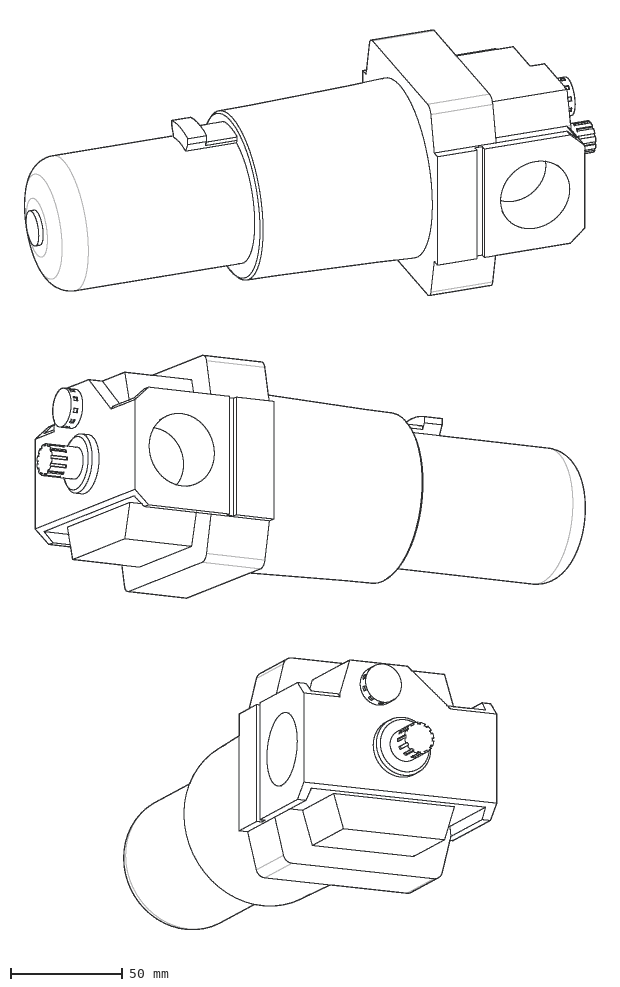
import cadquery as cq
import math


TOTAL_LENGTH = 267.8
KNOB_END_Y = 44.5
BLOCK_BACK_Y = 23.8
FLANGE_BACK_Y = -17.1
FLANGE_FRONT_Y = -46.9
SKIRT_END_Y = -128.3
BOWL_FLAT_Y = -221.2
BOSS_END_Y = KNOB_END_Y - TOTAL_LENGTH

OUTER_WIDTH = 95.0
FLANGE_HALF_HEIGHT = OUTER_WIDTH / 2
FLANGE_TOP_HALF_WIDTH = 38.3
FLANGE_SIDE_HALF_WIDTH = 43.5
FLANGE_CORNER_RADIUS = 4.3

PORT_FACE_X = OUTER_WIDTH / 2
PORT_BLOCK_HALF_HEIGHT = 27.0
PORT_CHAMFER_Y = 7.0
PORT_CHAMFER_Z = 6.5
RECESS_FLOOR_Z = 22.5
RECESS_FLOOR_HALF_WIDTH = 42.8
SIDE_GROOVE_BACK_Y = -24.5
SIDE_GROOVE_WIDTH = 3.5
SIDE_GROOVE_DEPTH = 2.7

PORT_MOUTH_RADIUS = 16.5
PORT_END_RADIUS = 15.3
PORT_DEPTH = 26.8
DRILL_TIP_ANGLE = 118.0

CENTRE_HALF_HEIGHT = 38.3
CENTRE_TOP_HALF_WIDTH = 25.0
CENTRE_BASE_HALF_WIDTH = 29.7
NOTCH_TOP_X = -3.5
NOTCH_SIDE_Z = 16.5
NOTCH_DEPTH = PORT_CHAMFER_Y

SKIRT_BACK_RADIUS = 41.0
SKIRT_END_RADIUS = 38.5
SKIRT_CHAMFER = 1.0

COLLAR_RADIUS = 13.5
COLLAR_HEIGHT = 4.8
COLLAR_CHAMFER = 1.3
KNOB_RADIUS = 7.2
FLUTE_COUNT = 12
FLUTE_WIDTH = 1.3
FLUTE_DEPTH = 0.8
FLUTE_LENGTH = 7.8

PLUG_X = 11.0
PLUG_Z = 27.5
PLUG_RADIUS = 8.8
PLUG_HEIGHT = 6.0
PLUG_NOTCH_COUNT = 10
PLUG_NOTCH_SIZE = 2.0
PLUG_NOTCH_DEPTH = 0.8
PLUG_NOTCH_END_GAP = 1.5

BOWL_RADIUS = 30.8
BOWL_CORNER_RADIUS = 10.7
BOWL_DOME_RADIUS = 67.0
BOWL_FLAT_RADIUS = 13.5
BOSS_RADIUS = 8.0

LATCH_FRONT_Y = -152.6
LATCH_TAB_LENGTH = 9.0
LATCH_TOP_RADIUS = 38.5
LATCH_HALF_WIDTH = 10.2
LATCH_SHOULDER_Z = 34.3
LATCH_BASE_HALF_WIDTH = 7.5
LATCH_BASE_Z = 29.7
NECK_TOP_RADIUS = 34.3
NECK_HALF_WIDTH = 8.5


def plane_at(y):
    """Cross-section plane at a given Y: local x is X, local y is Z, normal points toward -Y."""
    return cq.Workplane("XZ", origin=(0, y, 0))


def box_between(x_range, y_range, z_range):
    """Box that fills the given ranges."""
    size = [high - low for low, high in (x_range, y_range, z_range)]
    corner = (x_range[0], y_range[0], z_range[0])
    return cq.Workplane("XY").box(*size, centered=False).translate(corner)


def make_flange():
    """Eight-sided slab with sloping sides and rounded top and bottom corners."""
    right_side = [
        (FLANGE_TOP_HALF_WIDTH, -FLANGE_HALF_HEIGHT),
        (FLANGE_SIDE_HALF_WIDTH, -PORT_BLOCK_HALF_HEIGHT),
        (FLANGE_SIDE_HALF_WIDTH, PORT_BLOCK_HALF_HEIGHT),
        (FLANGE_TOP_HALF_WIDTH, FLANGE_HALF_HEIGHT),
    ]
    left_side = [(-x, -z) for x, z in right_side]
    slab = plane_at(FLANGE_BACK_Y).polyline(right_side + left_side).close()
    slab = slab.extrude(FLANGE_BACK_Y - FLANGE_FRONT_Y)
    return slab.edges("|Y").edges(">Z or <Z").fillet(FLANGE_CORNER_RADIUS)


def make_port_block():
    """Block as long as the head and flange, chamfered at the back, recessed between its side plates."""
    chamfer_y = BLOCK_BACK_Y - PORT_CHAMFER_Y
    chamfer_z = PORT_BLOCK_HALF_HEIGHT - PORT_CHAMFER_Z
    outline = [
        (FLANGE_FRONT_Y, -PORT_BLOCK_HALF_HEIGHT),
        (chamfer_y, -PORT_BLOCK_HALF_HEIGHT),
        (BLOCK_BACK_Y, -chamfer_z),
        (BLOCK_BACK_Y, chamfer_z),
        (chamfer_y, PORT_BLOCK_HALF_HEIGHT),
        (FLANGE_FRONT_Y, PORT_BLOCK_HALF_HEIGHT),
    ]
    block = cq.Workplane("YZ").polyline(outline).close().extrude(PORT_FACE_X, both=True)

    recess_outline = [
        (-RECESS_FLOOR_HALF_WIDTH, RECESS_FLOOR_Z),
        (RECESS_FLOOR_HALF_WIDTH, RECESS_FLOOR_Z),
        (FLANGE_SIDE_HALF_WIDTH, PORT_BLOCK_HALF_HEIGHT),
        (-FLANGE_SIDE_HALF_WIDTH, PORT_BLOCK_HALF_HEIGHT),
    ]
    recess = plane_at(BLOCK_BACK_Y).polyline(recess_outline).close().extrude(BLOCK_BACK_Y - FLANGE_BACK_Y)
    return block.cut(recess).cut(recess.mirror("XY"))


def make_centre_block():
    """Tapered ridges above and below the port block; the upper one reaches the back, less a notch."""
    ridge_outline = [
        (-CENTRE_BASE_HALF_WIDTH, 0),
        (CENTRE_BASE_HALF_WIDTH, 0),
        (CENTRE_BASE_HALF_WIDTH, RECESS_FLOOR_Z),
        (CENTRE_TOP_HALF_WIDTH, CENTRE_HALF_HEIGHT),
        (-CENTRE_TOP_HALF_WIDTH, CENTRE_HALF_HEIGHT),
        (-CENTRE_BASE_HALF_WIDTH, RECESS_FLOOR_Z),
    ]
    ridge = plane_at(BLOCK_BACK_Y).polyline(ridge_outline).close().extrude(BLOCK_BACK_Y - FLANGE_BACK_Y)

    notch_outline = [
        (-CENTRE_BASE_HALF_WIDTH, NOTCH_SIDE_Z),
        (NOTCH_TOP_X, CENTRE_HALF_HEIGHT),
        (-CENTRE_BASE_HALF_WIDTH, CENTRE_HALF_HEIGHT),
    ]
    notch = plane_at(BLOCK_BACK_Y).polyline(notch_outline).close().extrude(NOTCH_DEPTH)

    lower_ridge = ridge.mirror("XY").intersect(
        box_between(
            (-CENTRE_BASE_HALF_WIDTH, CENTRE_BASE_HALF_WIDTH),
            (FLANGE_BACK_Y, BLOCK_BACK_Y - NOTCH_DEPTH),
            (-CENTRE_HALF_HEIGHT, 0),
        )
    )
    return ridge.cut(notch).union(lower_ridge)


def make_skirt():
    """Tapered round skirt in front of the flange, chamfered at its end."""
    profile = [
        (0, FLANGE_FRONT_Y),
        (SKIRT_BACK_RADIUS, FLANGE_FRONT_Y),
        (SKIRT_END_RADIUS, SKIRT_END_Y + SKIRT_CHAMFER),
        (SKIRT_END_RADIUS - SKIRT_CHAMFER, SKIRT_END_Y),
        (0, SKIRT_END_Y),
    ]
    return cq.Workplane("XY").polyline(profile).close().revolve(360, (0, 0), (0, 1))


def make_knob():
    """Fluted adjusting knob on a chamfered collar."""
    collar = plane_at(BLOCK_BACK_Y).circle(COLLAR_RADIUS).extrude(-COLLAR_HEIGHT)
    collar = collar.faces(">Y").chamfer(COLLAR_CHAMFER)
    knob = plane_at(BLOCK_BACK_Y).circle(KNOB_RADIUS).extrude(BLOCK_BACK_Y - KNOB_END_Y)
    flute = box_between(
        (-FLUTE_WIDTH / 2, FLUTE_WIDTH / 2),
        (KNOB_END_Y - FLUTE_LENGTH, KNOB_END_Y),
        (KNOB_RADIUS - FLUTE_DEPTH, KNOB_RADIUS + FLUTE_DEPTH),
    )
    for index in range(FLUTE_COUNT):
        knob = knob.cut(flute.rotate((0, 0, 0), (0, 1, 0), index * 360 / FLUTE_COUNT))
    return collar.union(knob)


def make_filler_plug():
    """Round plug with small square notches around its rim."""
    plug = cq.Workplane("XZ").circle(PLUG_RADIUS).extrude(-PLUG_HEIGHT)
    notch_end_y = PLUG_HEIGHT - PLUG_NOTCH_END_GAP
    notch = box_between(
        (-PLUG_NOTCH_SIZE / 2, PLUG_NOTCH_SIZE / 2),
        (notch_end_y - PLUG_NOTCH_SIZE, notch_end_y),
        (PLUG_RADIUS - PLUG_NOTCH_DEPTH, PLUG_RADIUS + PLUG_NOTCH_DEPTH),
    )
    for index in range(PLUG_NOTCH_COUNT):
        plug = plug.cut(notch.rotate((0, 0, 0), (0, 1, 0), index * 360 / PLUG_NOTCH_COUNT))
    return plug.translate((PLUG_X, BLOCK_BACK_Y, PLUG_Z))


def make_port():
    """Tapered blind hole from the left face, ending in a drill tip."""
    tip_depth = PORT_END_RADIUS / math.tan(math.radians(DRILL_TIP_ANGLE / 2))
    profile = [
        (-PORT_FACE_X, 0),
        (-PORT_FACE_X, PORT_MOUTH_RADIUS),
        (-PORT_FACE_X + PORT_DEPTH, PORT_END_RADIUS),
        (-PORT_FACE_X + PORT_DEPTH + tip_depth, 0),
    ]
    return cq.Workplane("XY").polyline(profile).close().revolve(360, (0, 0), (1, 0))


def make_side_groove():
    """Straight groove up the left face."""
    return box_between(
        (-PORT_FACE_X, -PORT_FACE_X + SIDE_GROOVE_DEPTH),
        (SIDE_GROOVE_BACK_Y - SIDE_GROOVE_WIDTH, SIDE_GROOVE_BACK_Y),
        (-PORT_BLOCK_HALF_HEIGHT, PORT_BLOCK_HALF_HEIGHT),
    )


def make_housing():
    """Head, flange and skirt in one piece, with a port and a groove on each side."""
    housing = make_flange()
    for feature in (make_port_block(), make_centre_block(), make_skirt(), make_knob(), make_filler_plug()):
        housing = housing.union(feature)
    for cutter in (make_port(), make_side_groove()):
        housing = housing.cut(cutter).cut(cutter.mirror("YZ"))
    return housing


def make_bowl_shell():
    """Solid bowl: cylinder, rounded corner, tangent spherical dome, flat and end boss."""
    corner_centre_r = BOWL_RADIUS - BOWL_CORNER_RADIUS
    centre_distance = BOWL_DOME_RADIUS - BOWL_CORNER_RADIUS
    dome_centre_y = BOWL_FLAT_Y + math.sqrt(BOWL_DOME_RADIUS**2 - BOWL_FLAT_RADIUS**2)
    corner_centre_y = dome_centre_y - math.sqrt(centre_distance**2 - corner_centre_r**2)

    tangent_angle = math.asin(corner_centre_r / centre_distance)
    flat_angle = math.asin(BOWL_FLAT_RADIUS / BOWL_DOME_RADIUS)
    corner_middle_angle = (math.pi / 2 + tangent_angle) / 2
    dome_middle_angle = (tangent_angle + flat_angle) / 2

    def dome_point(angle):
        return (BOWL_DOME_RADIUS * math.sin(angle), dome_centre_y - BOWL_DOME_RADIUS * math.cos(angle))

    corner_middle = (
        corner_centre_r + BOWL_CORNER_RADIUS * math.sin(corner_middle_angle),
        corner_centre_y - BOWL_CORNER_RADIUS * math.cos(corner_middle_angle),
    )
    profile = (
        cq.Workplane("XY")
        .moveTo(0, SKIRT_END_Y)
        .lineTo(BOWL_RADIUS, SKIRT_END_Y)
        .lineTo(BOWL_RADIUS, corner_centre_y)
        .threePointArc(corner_middle, dome_point(tangent_angle))
        .threePointArc(dome_point(dome_middle_angle), (BOWL_FLAT_RADIUS, BOWL_FLAT_Y))
        .lineTo(BOSS_RADIUS, BOWL_FLAT_Y)
        .lineTo(BOSS_RADIUS, BOSS_END_Y)
        .lineTo(0, BOSS_END_Y)
        .close()
    )
    return profile.revolve(360, (0, 0), (0, 1))


def make_latch():
    """Latch with a low, narrow neck and a raised tab at its front end."""

    def top_z(radius, x):
        return math.sqrt(radius**2 - x**2)

    outline = (
        plane_at(SKIRT_END_Y)
        .moveTo(-LATCH_BASE_HALF_WIDTH, LATCH_BASE_Z)
        .lineTo(LATCH_BASE_HALF_WIDTH, LATCH_BASE_Z)
        .lineTo(LATCH_HALF_WIDTH, LATCH_SHOULDER_Z)
        .lineTo(LATCH_HALF_WIDTH, top_z(LATCH_TOP_RADIUS, LATCH_HALF_WIDTH))
        .threePointArc((0, LATCH_TOP_RADIUS), (-LATCH_HALF_WIDTH, top_z(LATCH_TOP_RADIUS, LATCH_HALF_WIDTH)))
        .lineTo(-LATCH_HALF_WIDTH, LATCH_SHOULDER_Z)
        .close()
    )
    latch = outline.extrude(SKIRT_END_Y - LATCH_FRONT_Y)

    neck_length = SKIRT_END_Y - LATCH_FRONT_Y - LATCH_TAB_LENGTH
    neck_limit = (
        plane_at(SKIRT_END_Y)
        .moveTo(-NECK_HALF_WIDTH, 0)
        .lineTo(NECK_HALF_WIDTH, 0)
        .lineTo(NECK_HALF_WIDTH, top_z(NECK_TOP_RADIUS, NECK_HALF_WIDTH))
        .threePointArc((0, NECK_TOP_RADIUS), (-NECK_HALF_WIDTH, top_z(NECK_TOP_RADIUS, NECK_HALF_WIDTH)))
        .close()
        .extrude(neck_length)
    )
    tab_limit = box_between(
        (-LATCH_HALF_WIDTH, LATCH_HALF_WIDTH),
        (LATCH_FRONT_Y, LATCH_FRONT_Y + LATCH_TAB_LENGTH),
        (0, LATCH_TOP_RADIUS),
    )
    return latch.intersect(neck_limit).union(latch.intersect(tab_limit))


def make_bowl():
    """Bowl with its latch, butting against the end of the skirt."""
    return make_bowl_shell().union(make_latch())


housing = make_housing()
bowl = make_bowl()
result = cq.Compound.makeCompound([*housing.solids().vals(), *bowl.solids().vals()])